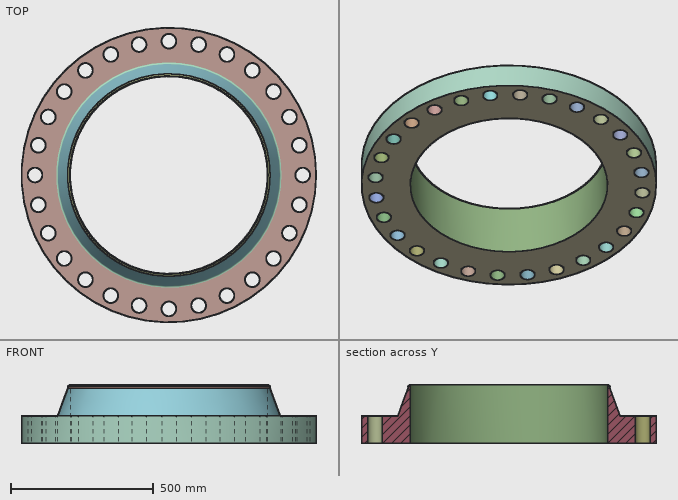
import cadquery as cq
import math

flange_diameter = 1035.0
flange_thickness = 96.0
total_height = 206.0
bore_diameter = 692.0

hub_base_diameter = 782.0
hub_top_diameter = 711.0
hub_root_fillet = 6.0

weld_end_length = 12.0
weld_land_width = 2.0
weld_bevel_angle = 37.5

bolt_count = 28
bolt_circle_diameter = 940.0
bolt_hole_diameter = 51.0


def flange_body():
    """Revolve the half section of ring and hub about Z."""
    bore_radius = bore_diameter / 2
    hub_top_radius = hub_top_diameter / 2
    land_radius = bore_radius + weld_land_width
    bevel_height = (hub_top_radius - land_radius) * math.tan(math.radians(weld_bevel_angle))

    section = [
        (bore_radius, 0),
        (flange_diameter / 2, 0),
        (flange_diameter / 2, flange_thickness),
        (hub_base_diameter / 2, flange_thickness),
        (hub_top_radius, total_height - weld_end_length),
        (hub_top_radius, total_height - bevel_height),
        (land_radius, total_height),
        (bore_radius, total_height),
    ]
    return cq.Workplane("XZ").polyline(section).close().revolve(360, (0, 0), (0, 1))


def round_hub_root(body):
    """Fillet the inside corner where the hub meets the ring."""
    margin = 1.0
    reach = hub_base_diameter / 2 + margin
    root_edge = cq.selectors.BoxSelector(
        (-reach, -reach, flange_thickness - margin),
        (reach, reach, flange_thickness + margin),
        boundingbox=True,
    )
    return body.edges(root_edge).fillet(hub_root_fillet)


def bolt_holes():
    """Cylinders evenly spaced on the bolt circle, the first one on the +X axis."""
    return (
        cq.Workplane("XY")
        .polarArray(bolt_circle_diameter / 2, 0, 360, bolt_count)
        .circle(bolt_hole_diameter / 2)
        .extrude(flange_thickness)
    )


result = round_hub_root(flange_body()).cut(bolt_holes())